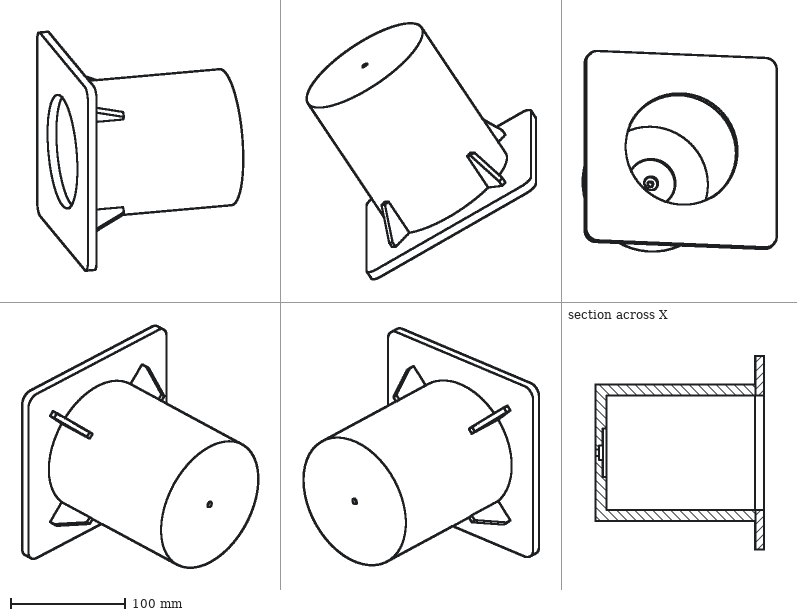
import cadquery as cq

plate_side = 170.0
plate_thickness = 8.0
plate_corner_radius = 10.0

cup_diameter = 120.0
wall_thickness = 10.0
cup_length = 140.0
bore_diameter = cup_diameter - 2 * wall_thickness
floor_thickness = wall_thickness

wide_recess_diameter = 42.0
narrow_recess_diameter = 12.0
drain_diameter = 5.0
recess_step = floor_thickness / 3

rib_count = 4
rib_first_angle = 45.0
rib_thickness = 5.0
rib_height = 35.0
rib_edge_height = 5.0
rib_base_reach = 80.0
rib_top_reach = 65.0

plate_back = plate_thickness
cup_end = plate_back + cup_length
cup_floor = cup_end - floor_thickness


def cylinder_along_y(diameter, start, end):
    """Cylinder on the cup axis between two Y positions."""
    return cq.Workplane("XZ", origin=(0, start, 0)).circle(diameter / 2).extrude(start - end)


def make_plate():
    """Square plate with rounded corners and an opening as wide as the cup bore."""
    plate = (
        cq.Workplane("XZ")
        .rect(plate_side, plate_side)
        .extrude(-plate_thickness)
        .edges("|Y")
        .fillet(plate_corner_radius)
    )
    return plate.cut(cylinder_along_y(bore_diameter, 0, plate_back))


def make_cup():
    """Tube with a closed end and a stepped drain hole through its floor."""
    cup = cylinder_along_y(cup_diameter, plate_back, cup_end)
    cup = cup.cut(cylinder_along_y(bore_diameter, plate_back, cup_floor))
    cup = cup.cut(cylinder_along_y(wide_recess_diameter, cup_floor, cup_floor + recess_step))
    cup = cup.cut(cylinder_along_y(narrow_recess_diameter, cup_floor, cup_floor + 2 * recess_step))
    return cup.cut(cylinder_along_y(drain_diameter, cup_floor, cup_end))


def make_rib(angle):
    """Tapered rib between plate and cup, turned about the cup axis."""
    rib_top = plate_back + rib_height
    blank = (
        cq.Workplane("XY")
        .moveTo(0, plate_back)
        .lineTo(rib_base_reach, plate_back)
        .lineTo(rib_base_reach, plate_back + rib_edge_height)
        .lineTo(rib_top_reach, rib_top)
        .lineTo(0, rib_top)
        .close()
        .extrude(rib_thickness / 2, both=True)
    )
    rib = blank.cut(cylinder_along_y(cup_diameter, plate_back, rib_top))
    return rib.rotate((0, 0, 0), (0, 1, 0), angle)


plate = make_plate()
cup = make_cup()
ribs = [make_rib(rib_first_angle + i * 360 / rib_count) for i in range(rib_count)]

result = cq.Compound.makeCompound([plate.val(), cup.val(), *(rib.val() for rib in ribs)])